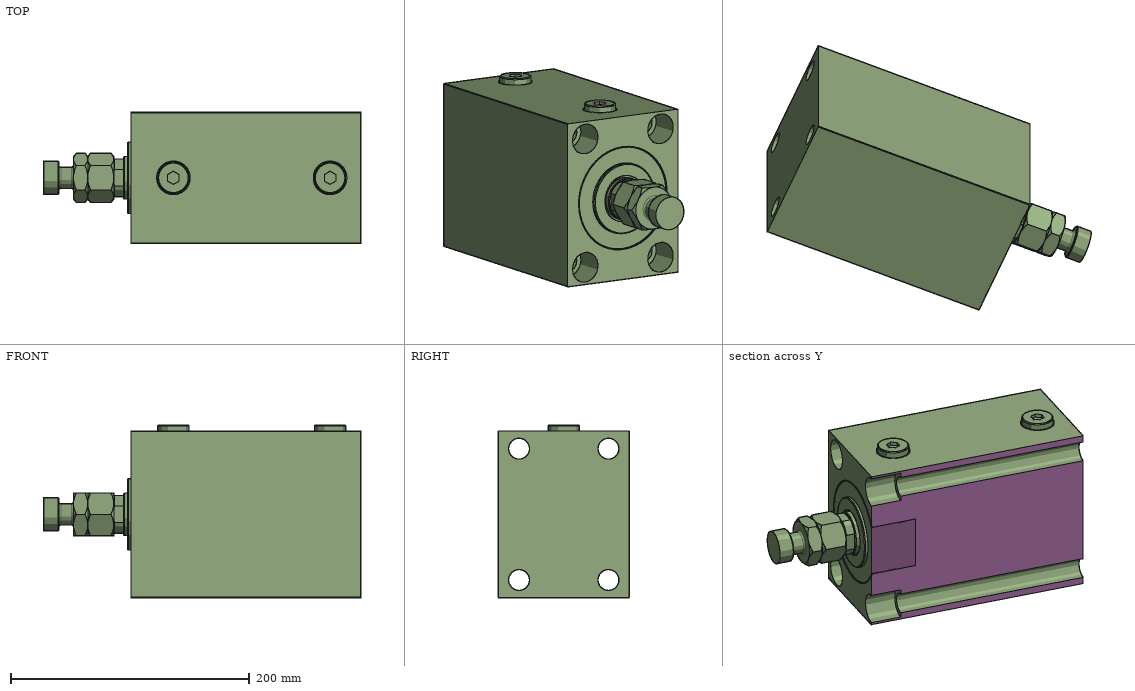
import cadquery as cq
import math


TOTAL_LENGTH = 266.0
HOUSING_START = 73.2
HOUSING_LENGTH = TOTAL_LENGTH - HOUSING_START
HOUSING_WIDTH = 110.0
HOUSING_HEIGHT = 140.0
HOUSING_EDGE_CHAMFER = 0.5

BOLT_SPACING_Y = 75.0
BOLT_SPACING_Z = 110.0
BOLT_HOLE_DIAMETER = 17.3
COUNTERBORE_DIAMETER = 25.3
COUNTERBORE_DEPTH = 26.5

GLAND_DIAMETER = 86.7
GLAND_DEPTH = 40.0
GLAND_SEAT_CHAMFER = 0.8
COLLAR_DIAMETER = 60.0
COLLAR_HEIGHT = 3.0
COLLAR_CHAMFER = 0.8
WIPER_RECESS_DIAMETER = 39.5
WIPER_RECESS_DEPTH = 1.3

ROD_DIAMETER = 36.0
ROD_END_DIAMETER = 34.8
ROD_FLAT_WIDTH = 32.0
ROD_SHOULDER = 67.0
ROD_SHOULDER_CHAMFER = 0.8
ROD_TIP_CHAMFER = 0.8

HEAD_DIAMETER = 28.0
HEAD_LENGTH = 12.8
HEAD_CHAMFER = 0.8
NECK_DIAMETER = 18.0
NECK_FILLET = 1.5
HEX_ACROSS_FLATS = 36.0
HEX_CHAMFER_LENGTH = 2.5
THIN_HEX_START = 25.0
THICK_HEX_START = 37.0
THICK_HEX_END = 58.8

PLUG_POSITIONS = (108.8, 240.2)
PLUG_DIAMETER = 26.3
PLUG_HEIGHT = 5.0
PLUG_DEPTH = 12.0
PLUG_CHAMFER = 0.8
SOCKET_ACROSS_FLATS = 9.5
SOCKET_DEPTH = 3.0
SPOTFACE_DIAMETER = 28.2
SPOTFACE_DEPTH = 0.8

HEX_SIDES = 6
HOUSING_TOP = HOUSING_HEIGHT / 2
COLLAR_FACE = HOUSING_START - COLLAR_HEIGHT
GLAND_END = HOUSING_START + GLAND_DEPTH


def hex_corner_diameter(across_flats):
    return across_flats / math.cos(math.pi / HEX_SIDES)


def cylinder_x(diameter, start, end):
    """Cylinder on the rod axis between two X positions."""
    return cq.Workplane("YZ", origin=(start, 0, 0)).circle(diameter / 2).extrude(end - start)


def cylinder_z(diameter, x, bottom, top):
    """Upright cylinder in the middle plane of the housing."""
    return cq.Workplane("XY", origin=(x, 0, bottom)).circle(diameter / 2).extrude(top - bottom)


def make_housing():
    block = cq.Workplane("XY").box(HOUSING_LENGTH, HOUSING_WIDTH, HOUSING_HEIGHT)
    block = block.translate((HOUSING_START + HOUSING_LENGTH / 2, 0, 0))
    block = block.edges("|X").chamfer(HOUSING_EDGE_CHAMFER)

    block = (
        block.faces("<X")
        .workplane(centerOption="CenterOfBoundBox")
        .rect(BOLT_SPACING_Y, BOLT_SPACING_Z, forConstruction=True)
        .vertices()
        .cboreHole(BOLT_HOLE_DIAMETER, COUNTERBORE_DIAMETER, COUNTERBORE_DEPTH)
    )

    gland_seat = cylinder_x(GLAND_DIAMETER, HOUSING_START, GLAND_END)
    rim = cq.Solid.makeCone(
        GLAND_DIAMETER / 2 + GLAND_SEAT_CHAMFER,
        GLAND_DIAMETER / 2,
        GLAND_SEAT_CHAMFER,
        pnt=cq.Vector(HOUSING_START, 0, 0),
        dir=cq.Vector(1, 0, 0),
    )
    block = block.cut(gland_seat).cut(rim)

    for x in PLUG_POSITIONS:
        block = block.cut(cylinder_z(PLUG_DIAMETER, x, HOUSING_TOP - PLUG_DEPTH, HOUSING_TOP))
        block = block.cut(cylinder_z(SPOTFACE_DIAMETER, x, HOUSING_TOP - SPOTFACE_DEPTH, HOUSING_TOP))
    return block


def make_gland():
    collar = cylinder_x(COLLAR_DIAMETER, COLLAR_FACE, GLAND_END).faces("<X").chamfer(COLLAR_CHAMFER)
    gland = cylinder_x(GLAND_DIAMETER, HOUSING_START, GLAND_END).union(collar)
    wiper_recess = cylinder_x(WIPER_RECESS_DIAMETER, COLLAR_FACE, COLLAR_FACE + WIPER_RECESS_DEPTH)
    rod_bore = cylinder_x(ROD_DIAMETER, COLLAR_FACE, GLAND_END)
    return gland.cut(wiper_recess).cut(rod_bore)


def make_rod():
    rod_end = cylinder_x(ROD_END_DIAMETER, THICK_HEX_END, ROD_SHOULDER).faces("<X").chamfer(ROD_TIP_CHAMFER)
    flats = (
        cq.Workplane("YZ", origin=(THICK_HEX_END, 0, 0))
        .rect(ROD_FLAT_WIDTH, ROD_FLAT_WIDTH)
        .extrude(ROD_SHOULDER - THICK_HEX_END)
    )
    shaft = cylinder_x(ROD_DIAMETER, ROD_SHOULDER, GLAND_END).faces("<X").chamfer(ROD_SHOULDER_CHAMFER)
    return rod_end.intersect(flats).union(shaft)


def make_hexagon(start, end):
    """Hexagon on the rod axis, corners toward +Y and -Y, with turned chamfers at both ends."""
    corner_diameter = hex_corner_diameter(HEX_ACROSS_FLATS)
    prism = cq.Workplane("YZ", origin=(start, 0, 0)).polygon(HEX_SIDES, corner_diameter).extrude(end - start)
    chamfer_height = (corner_diameter - HEX_ACROSS_FLATS) / 2
    envelope = cylinder_x(corner_diameter, start, end)
    envelope = envelope.faces("<X").chamfer(HEX_CHAMFER_LENGTH, chamfer_height)
    envelope = envelope.faces(">X").chamfer(HEX_CHAMFER_LENGTH, chamfer_height)
    return prism.intersect(envelope)


def make_coupling():
    neck_radius = NECK_DIAMETER / 2
    head_radius = HEAD_DIAMETER / 2
    fillet_radius = neck_radius + NECK_FILLET
    fillet_start = (HEAD_LENGTH + NECK_FILLET, neck_radius)
    fillet_end = (THIN_HEX_START - NECK_FILLET, neck_radius)
    arc_inset = NECK_FILLET * (1 - math.sqrt(0.5))
    stud = (
        cq.Workplane("XY")
        .moveTo(0, 0)
        .lineTo(0, head_radius)
        .lineTo(HEAD_LENGTH - HEAD_CHAMFER, head_radius)
        .lineTo(HEAD_LENGTH, head_radius - HEAD_CHAMFER)
        .lineTo(HEAD_LENGTH, fillet_radius)
        .threePointArc((HEAD_LENGTH + arc_inset, neck_radius + arc_inset), fillet_start)
        .lineTo(*fillet_end)
        .threePointArc(
            (THIN_HEX_START - arc_inset, neck_radius + arc_inset),
            (THIN_HEX_START, fillet_radius),
        )
        .lineTo(THIN_HEX_START, 0)
        .close()
        .revolve(360, (0, 0, 0), (1, 0, 0))
    )
    thin_hex = make_hexagon(THIN_HEX_START, THICK_HEX_START)
    thick_hex = make_hexagon(THICK_HEX_START, THICK_HEX_END)
    return stud.union(thin_hex).union(thick_hex)


def make_plug(x):
    plug_top = HOUSING_TOP + PLUG_HEIGHT
    plug = cylinder_z(PLUG_DIAMETER, x, HOUSING_TOP - PLUG_DEPTH, plug_top).faces(">Z").chamfer(PLUG_CHAMFER)
    socket = (
        cq.Workplane("XY", origin=(x, 0, plug_top))
        .transformed(rotate=(0, 0, 180 / HEX_SIDES))
        .polygon(HEX_SIDES, hex_corner_diameter(SOCKET_ACROSS_FLATS))
        .extrude(-SOCKET_DEPTH)
    )
    return plug.cut(socket)


housing = make_housing()
gland = make_gland()
rod = make_rod()
coupling = make_coupling()
plugs = [make_plug(x) for x in PLUG_POSITIONS]

result = cq.Compound.makeCompound(
    [housing.val(), gland.val(), rod.val(), coupling.val(), *[plug.val() for plug in plugs]]
)